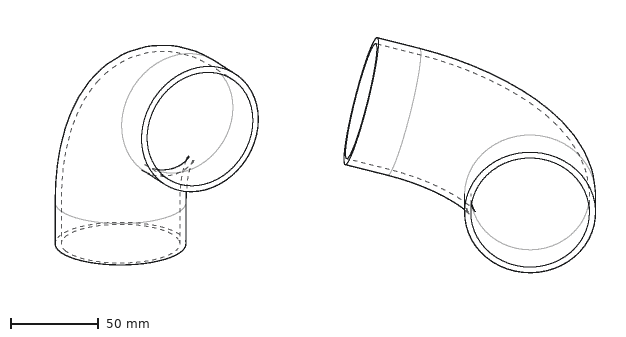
import cadquery as cq

overall_length = 137.5
outer_diameter = 75.0
bore_diameter = 67.8

bend_radius = outer_diameter
straight_length = overall_length - bend_radius - outer_diameter / 2
bend_angle = 90


def elbow(diameter):
    """Solid round elbow from an open end facing -Z to an open end facing +X."""
    radius = diameter / 2
    lower_end = cq.Workplane("XY").circle(radius).extrude(straight_length)
    bend = (
        cq.Workplane("XY", origin=(0, 0, straight_length))
        .circle(radius)
        .revolve(bend_angle, (bend_radius, 0), (bend_radius, 1))
    )
    upper_end = (
        cq.Workplane("YZ", origin=(bend_radius, 0, straight_length + bend_radius))
        .circle(radius)
        .extrude(straight_length)
    )
    return lower_end.union(bend).union(upper_end)


result = elbow(outer_diameter).cut(elbow(bore_diameter))